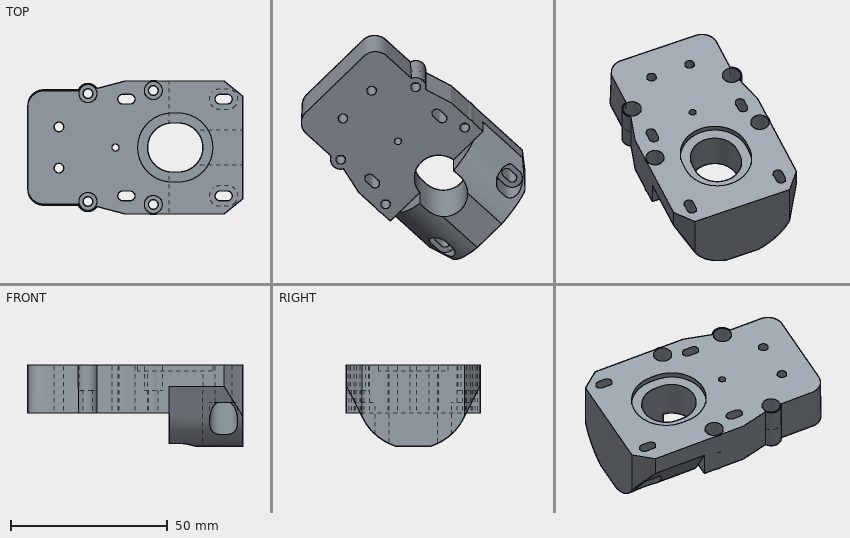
import cadquery as cq
import math


length = 68.55
plate_half_width = 21.25
plate_thickness = 15.4
total_height = 26.0
wing_start_x = 19.2
wing_start_half_width = 18.1
wing_full_x = 31.1
corner_cut_x = 62.6
end_half_width = 16.4

body_top_half_width = 18.0
body_bottom_half_width = 18.45
body_corner_radius = 5.1

belly_start_x = 45.1
belly_edge_depth = 6.85
belly_radius = 18.0
belly_axis_depth = 8.85

boss_diameter = 6.5
boss_places = [(wing_start_x, 17.2), (40.05, 18.2)]
screw_diameter = 3.0
screw_head_diameter = 5.75
screw_head_depth = 8.2

pair_hole_x = 9.95
pair_hole_y = 6.6
pin_hole_x = 28.0
pin_hole_diameter = 2.2

slot_travel = 2.4
slot_y = 15.4
left_slot_x = 31.5
right_slot_x = 62.45
slot_relief_diameter = 6.6
slot_relief_depth = 12.0

bore_x = 47.0
bore_travel = 2.0
bore_diameter = 15.55
seat_diameter = 22.0
seat_depth = 2.0


def plate_prism():
    """Plan outline of the plate, extruded over the full height."""
    right_side = [
        (wing_start_x, wing_start_half_width),
        (wing_full_x, plate_half_width),
        (corner_cut_x, plate_half_width),
        (length, end_half_width),
    ]
    left_side = [(x, -y) for x, y in reversed(right_side)]
    outline = cq.Workplane("XY").polyline(right_side + left_side).close()
    return outline.extrude(-total_height)


def narrow_body():
    """Left half with drafted long sides and two rounded corners."""
    section = [
        (-body_top_half_width, 0),
        (body_top_half_width, 0),
        (body_bottom_half_width, -plate_thickness),
        (-body_bottom_half_width, -plate_thickness),
    ]
    body = cq.Workplane("YZ").polyline(section).close().extrude(belly_start_x)
    corners = body.faces("<X").edges("<Y or >Y")
    return corners.fillet(body_corner_radius)


def belly_prism():
    """Cross-section of the right end: flat sides, tangent slopes, a round belly and a flat bottom."""
    edge_rise = belly_axis_depth - belly_edge_depth
    edge_distance = math.hypot(plate_half_width, edge_rise)
    tangent_angle = math.atan2(edge_rise, plate_half_width) - math.acos(belly_radius / edge_distance)
    flat_angle = -math.asin((total_height - belly_axis_depth) / belly_radius)

    def on_circle(angle):
        return (belly_radius * math.cos(angle), belly_radius * math.sin(angle) - belly_axis_depth)

    def mirrored(point):
        return (-point[0], point[1])

    tangent = on_circle(tangent_angle)
    middle = on_circle((tangent_angle + flat_angle) / 2)
    flat = on_circle(flat_angle)
    section = (
        cq.Workplane("YZ", origin=(belly_start_x, 0, 0))
        .moveTo(-plate_half_width, 0)
        .lineTo(plate_half_width, 0)
        .lineTo(plate_half_width, -belly_edge_depth)
        .lineTo(*tangent)
        .threePointArc(middle, flat)
        .lineTo(*mirrored(flat))
        .threePointArc(mirrored(middle), mirrored(tangent))
        .lineTo(-plate_half_width, -belly_edge_depth)
        .close()
    )
    return section.extrude(length - belly_start_x)


def cylinders(points, diameter, depth):
    """Upright cylinders reaching down from the top face."""
    return cq.Workplane("XY").pushPoints(points).circle(diameter / 2).extrude(-depth)


def oblongs(points, diameter, travel, top_depth, bottom_depth):
    """Upright oblong prisms, long in X, between two depths below the top face."""
    plane = cq.Workplane("XY", origin=(0, 0, -top_depth)).pushPoints(points)
    return plane.slot2D(diameter + travel, diameter).extrude(top_depth - bottom_depth)


def both_sides(x, y):
    return [(x, y), (x, -y)]


prism = plate_prism()
front_limits = cq.Workplane("XY").box(
    belly_start_x, 2 * plate_half_width, plate_thickness, centered=(False, True, False)
).translate((0, 0, -plate_thickness))
boss_points = [point for x, y in boss_places for point in both_sides(x, y)]
result = (
    prism.intersect(front_limits)
    .union(prism.intersect(belly_prism()))
    .union(narrow_body())
    .union(cylinders(boss_points, boss_diameter, plate_thickness))
)

screw_points = boss_points + both_sides(pair_hole_x, pair_hole_y)
result = result.cut(cylinders(screw_points, screw_diameter, plate_thickness))
result = result.cut(cylinders(boss_points, screw_head_diameter, screw_head_depth))
result = result.cut(cylinders([(pin_hole_x, 0)], pin_hole_diameter, plate_thickness))

right_slots = both_sides(right_slot_x, slot_y)
slot_points = both_sides(left_slot_x, slot_y) + right_slots
result = result.cut(oblongs(slot_points, screw_diameter, slot_travel, 0, total_height))
result = result.cut(
    oblongs(right_slots, slot_relief_diameter, slot_travel, slot_relief_depth, total_height)
)

bore_center = [(bore_x, 0)]
result = result.cut(oblongs(bore_center, bore_diameter, bore_travel, 0, total_height))
result = result.cut(oblongs(bore_center, seat_diameter, bore_travel, 0, seat_depth))